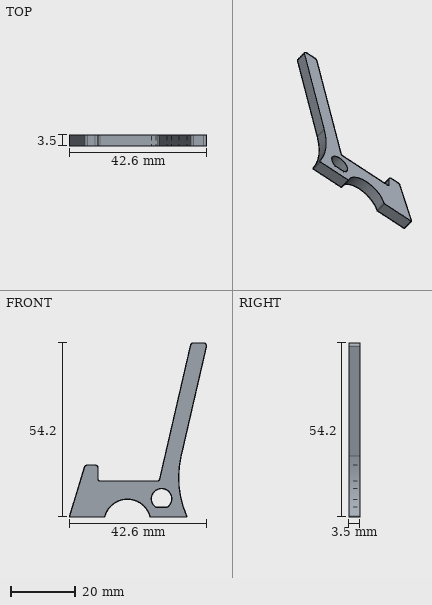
import cadquery as cq
import math

thickness = 3.5
height = 54.15

post_height = 16.2
post_top_front = 4.9
post_back = 9.0
seat_height = 11.2

arm_foot_front = 27.95
arm_top_front = 37.85
arm_width = 5.1
arm_lean = (arm_top_front - arm_foot_front) / (height - seat_height)
arm_angle = math.atan(arm_lean)
arm_top_back = arm_top_front + arm_width

heel_radius = 29.8
heel_center_z = 12.25

arch_center_x = 18.1
arch_radius = 7.25
arch_height = 5.5

hole_center_x = 28.7
hole_center_z = 5.7
hole_radius = 3.15
hole_flat_z = 3.1

corner_radius = 1.0
seat_radius = 0.65
foot_radius = 0.2


def make_body():
    """Extruded outline with sharp corners."""
    tangent_z = heel_center_z + heel_radius * math.sin(arm_angle)
    tangent_x = arm_top_back - arm_lean * (height - tangent_z)
    heel_center_x = tangent_x + heel_radius * math.cos(arm_angle)
    heel_waist = (heel_center_x - heel_radius, heel_center_z)
    heel_foot_x = heel_center_x - math.sqrt(heel_radius**2 - heel_center_z**2)

    arch_center_z = arch_height - arch_radius
    arch_half_width = math.sqrt(arch_radius**2 - arch_center_z**2)

    return (
        cq.Workplane("XZ")
        .moveTo(0, 0)
        .lineTo(post_top_front, post_height)
        .lineTo(post_back, post_height)
        .lineTo(post_back, seat_height)
        .lineTo(arm_foot_front, seat_height)
        .lineTo(arm_top_front, height)
        .lineTo(arm_top_back, height)
        .lineTo(tangent_x, tangent_z)
        .threePointArc(heel_waist, (heel_foot_x, 0))
        .lineTo(arch_center_x + arch_half_width, 0)
        .threePointArc((arch_center_x, arch_height), (arch_center_x - arch_half_width, 0))
        .close()
        .extrude(thickness / 2, both=True)
    )


def round_edges_at_height(body, z, radius):
    """Round every edge along Y at height z."""
    margin = 0.05
    span = 2 * height
    band = cq.selectors.BoxSelector((-span, -span, z - margin), (span, span, z + margin))
    return body.edges("|Y").edges(band).fillet(radius)


def make_flat_hole():
    """Cutter for the round hole, closed by a chord at its bottom."""
    half_chord = math.sqrt(hole_radius**2 - (hole_center_z - hole_flat_z) ** 2)
    return (
        cq.Workplane("XZ")
        .moveTo(hole_center_x - half_chord, hole_flat_z)
        .threePointArc(
            (hole_center_x, hole_center_z + hole_radius),
            (hole_center_x + half_chord, hole_flat_z),
        )
        .close()
        .extrude(thickness, both=True)
    )


body = make_body()
for corner_height, radius in (
    (height, corner_radius),
    (post_height, corner_radius),
    (seat_height, seat_radius),
    (0, foot_radius),
):
    body = round_edges_at_height(body, corner_height, radius)

result = body.cut(make_flat_hole())